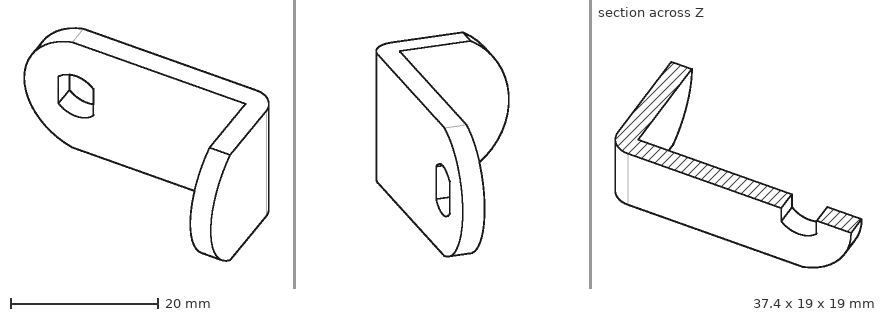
import cadquery as cq

length = 37.4
depth = 19.0
height = 19.0
thickness = 3.18

long_end_bulge = 7.4
short_end_bulge = 5.55

hole_from_end = 8.0
hole_diameter = 7.2
hole_flat_width = 5.4


def round_ended_plate(plane, plate_length, bulge):
    """Plate of the strip's height whose far end, at plate_length, is an arc."""
    half = height / 2
    shoulder = plate_length - bulge
    return (
        cq.Workplane(plane)
        .moveTo(0, -half)
        .lineTo(shoulder, -half)
        .threePointArc((plate_length, 0), (shoulder, half))
        .lineTo(0, half)
        .close()
        .extrude(thickness)
    )


long_leg_plane = cq.Plane(origin=(0, 0, 0), xDir=(-1, 0, 0), normal=(0, -1, 0))
short_leg_plane = cq.Plane(origin=(0, 0, 0), xDir=(0, -1, 0), normal=(-1, 0, 0))
long_leg = round_ended_plate(long_leg_plane, length, long_end_bulge)
short_leg = round_ended_plate(short_leg_plane, depth, short_end_bulge)
bracket = long_leg.union(short_leg)

bend_corner = cq.selectors.NearestToPointSelector((0, 0, 0))
bracket = bracket.edges("|Z").edges(bend_corner).fillet(thickness)

hole_plane = cq.Workplane(long_leg_plane).center(length - hole_from_end, 0)
round_hole = hole_plane.circle(hole_diameter / 2).extrude(thickness)
flats = hole_plane.rect(hole_flat_width, hole_diameter).extrude(thickness)
result = bracket.cut(round_hole.intersect(flats))